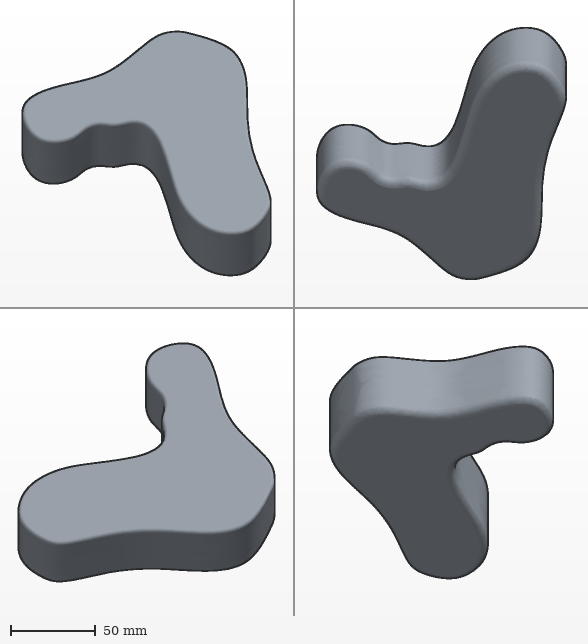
import cadquery as cq

height = 45.0

top_radius = 2.0
bottom_radius = 4.9

large_lobe = [
    (63.0, 124.8),
    (79.0, 126.5),
    (93.9, 124.5),
    (105.5, 115.3),
]
outer_right_flank = [
    (115.1, 99.8),
    (125.3, 80.0),
    (140.3, 59.2),
]
right_leg_end = [
    (156.3, 42.7),
    (162.4, 34.0),
    (163.5, 25.3),
    (158.0, 7.7),
    (140.6, 0.0),
    (125.5, 3.5),
    (112.8, 12.1),
]
inner_crotch = [
    (101.7, 24.5),
    (88.3, 40.4),
    (78.0, 49.4),
    (68.7, 52.3),
    (61.5, 49.5),
]
inner_notch = [
    (54.5, 44.0),
    (46.6, 41.0),
    (41.4, 36.3),
]
left_leg_end = [
    (37.5, 26.8),
    (21.3, 15.7),
    (5.4, 23.9),
    (0.0, 35.2),
    (9.3, 53.5),
]
outer_left_flank = [
    (21.6, 65.0),
    (33.5, 78.3),
    (40.4, 93.4),
    (44.8, 106.3),
    (50.7, 117.7),
]
outline = (
    large_lobe + outer_right_flank + right_leg_end + inner_crotch
    + inner_notch + left_leg_end + outer_left_flank
)


def make_slab():
    """Plate bounded by one closed smooth outline."""
    return cq.Workplane("XY").spline(outline, periodic=True).wire().extrude(height)


result = make_slab()
result = result.faces("<Z").edges().fillet(bottom_radius)
result = result.faces(">Z").edges().fillet(top_radius)